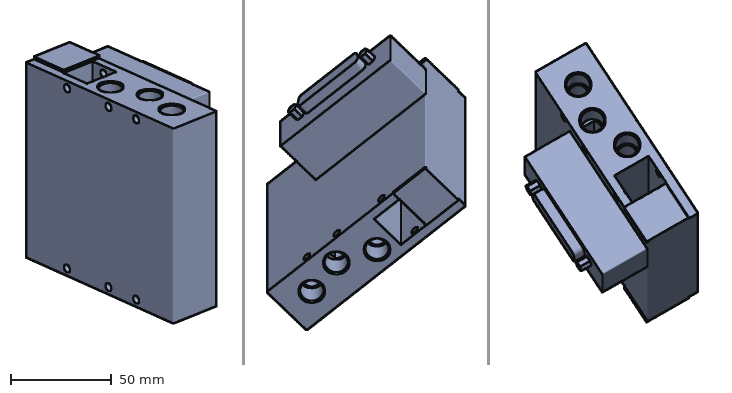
import cadquery as cq
import math


OVERALL_HEIGHT = 110.0
BODY_LENGTH = 106.7
BODY_DEPTH = 29.7
PLATE_THICKNESS = 1.4
BODY_HEIGHT = OVERALL_HEIGHT - 2 * PLATE_THICKNESS
EDGE_RADIUS = 0.5

PLATE_LENGTH = 21.6
PLATE_FRONT = 5.5
PLATE_OVERHANG = 0.4

SHAFT_LEFT = 22.0
SHAFT_LENGTH = 16.9
SHAFT_FRONT = 5.1
SHAFT_DEPTH = 19.9

ROUND_PORTS = [(49.6, 11.0), (89.8, 15.0)]
FLATTED_PORT = (69.7, 18.9)
PORT_MOUTH_DIAMETER = 13.2
PORT_BORE_DIAMETER = 11.7
PORT_BORE_DEPTH = 13.2
PORT_PASSAGE_DIAMETER = 9.7
PASSAGE_FLAT_WIDTH = 7.5
MOUTH_CHAMFER = (PORT_MOUTH_DIAMETER - PORT_BORE_DIAMETER) / 2

CROSS_HOLE_DIAMETER = 4.2
CROSS_HOLE_X = [29.8, 59.7, 79.8]
CROSS_HOLE_EDGE_DISTANCE = 4.1

HOUSING_LENGTH = 73.9
HOUSING_BACK = 55.9
HOUSING_HEIGHT = 24.8
HOUSING_TOP = 44.5

OVERALL_DEPTH = 61.7
CONNECTOR_LENGTH = OVERALL_DEPTH - HOUSING_BACK
CONNECTOR_X = HOUSING_LENGTH / 2
SHELL_WIDTH = 41.6
SHELL_HEIGHT = 9.6
SHELL_TOP = 41.0
SHELL_SLANT_DEGREES = 10
SHELL_RADIUS = 2.6
STANDOFF_SPACING = 47.4
STANDOFF_Z = 34.8
STANDOFF_CORNER_DIAMETER = 5.8


def block(x, y, z, length, depth, height):
    """Box whose corner of least X, Y and Z is at (x, y, z)."""
    return cq.Workplane("XY").box(length, depth, height, centered=False).translate((x, y, z))


def back_plane(x, z):
    """Sketch plane on the housing's back face, with X right, Z up and its normal along -Y."""
    return cq.Workplane("XZ", origin=(x, HOUSING_BACK, z))


def make_body():
    body = block(0, 0, -BODY_HEIGHT / 2, BODY_LENGTH, BODY_DEPTH, BODY_HEIGHT)
    return body.edges("|Z").fillet(EDGE_RADIUS)


def make_plate(base_z):
    plate_depth = BODY_DEPTH + PLATE_OVERHANG - PLATE_FRONT
    return block(0, PLATE_FRONT, base_z, PLATE_LENGTH, plate_depth, PLATE_THICKNESS)


def make_housing():
    bottom = HOUSING_TOP - HOUSING_HEIGHT
    housing_depth = HOUSING_BACK - BODY_DEPTH
    housing = block(0, BODY_DEPTH, bottom, HOUSING_LENGTH, housing_depth, HOUSING_HEIGHT)
    return housing.edges("|Y").fillet(EDGE_RADIUS)


def make_shell():
    """Rounded trapezoid, wider at its lower side."""
    lower_half = SHELL_WIDTH / 2
    upper_half = lower_half - SHELL_HEIGHT * math.tan(math.radians(SHELL_SLANT_DEGREES))
    shell = (
        back_plane(CONNECTOR_X, SHELL_TOP)
        .moveTo(-upper_half, 0)
        .lineTo(upper_half, 0)
        .lineTo(lower_half, -SHELL_HEIGHT)
        .lineTo(-lower_half, -SHELL_HEIGHT)
        .close()
        .extrude(-CONNECTOR_LENGTH)
    )
    return shell.edges("|Y").fillet(SHELL_RADIUS)


def make_standoff(x):
    return back_plane(x, STANDOFF_Z).polygon(6, STANDOFF_CORNER_DIAMETER).extrude(-CONNECTOR_LENGTH)


def make_port(position, passage_width):
    """Passage through the height with a chamfered bore at each end."""
    passage = cq.Workplane("XY").circle(PORT_PASSAGE_DIAMETER / 2).extrude(BODY_HEIGHT / 2, both=True)
    flats = cq.Workplane("XY").box(passage_width, PORT_PASSAGE_DIAMETER, BODY_HEIGHT)
    bore = (
        cq.Workplane("XZ")
        .moveTo(0, BODY_HEIGHT / 2)
        .lineTo(PORT_MOUTH_DIAMETER / 2, BODY_HEIGHT / 2)
        .lineTo(PORT_BORE_DIAMETER / 2, BODY_HEIGHT / 2 - MOUTH_CHAMFER)
        .lineTo(PORT_BORE_DIAMETER / 2, BODY_HEIGHT / 2 - PORT_BORE_DEPTH)
        .lineTo(0, BODY_HEIGHT / 2 - PORT_BORE_DEPTH)
        .close()
        .revolve(360, (0, 0), (0, 1))
    )
    port = passage.intersect(flats).union(bore).union(bore.mirror("XY"))
    return port.translate((*position, 0))


def make_cross_holes():
    hole_z = BODY_HEIGHT / 2 - CROSS_HOLE_EDGE_DISTANCE
    centers = [(x, z) for x in CROSS_HOLE_X for z in (-hole_z, hole_z)]
    return cq.Workplane("XZ").pushPoints(centers).circle(CROSS_HOLE_DIAMETER / 2).extrude(-BODY_DEPTH)


result = make_body().union(make_housing()).union(make_shell())
for plate_base in (-OVERALL_HEIGHT / 2, BODY_HEIGHT / 2):
    result = result.union(make_plate(plate_base))
for side in (-1, 1):
    result = result.union(make_standoff(CONNECTOR_X + side * STANDOFF_SPACING / 2))

result = result.cut(
    block(SHAFT_LEFT, SHAFT_FRONT, -BODY_HEIGHT / 2, SHAFT_LENGTH, SHAFT_DEPTH, BODY_HEIGHT)
)
for port_position in ROUND_PORTS:
    result = result.cut(make_port(port_position, PORT_PASSAGE_DIAMETER))
result = result.cut(make_port(FLATTED_PORT, PASSAGE_FLAT_WIDTH))
result = result.cut(make_cross_holes())